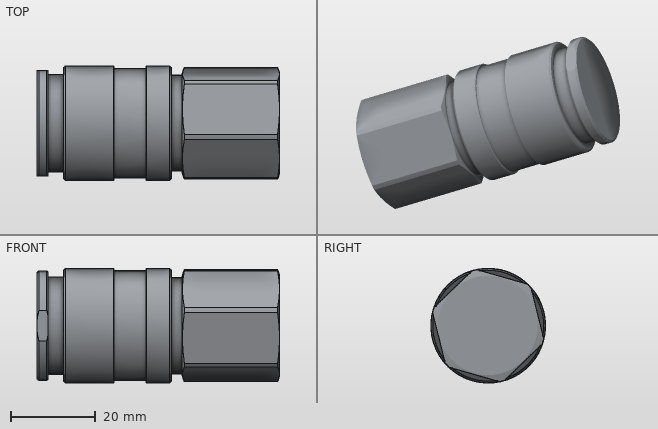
import cadquery as cq
import math

TOTAL_LENGTH = 57.45

FLANGE_DIAMETER = 26.0
FLANGE_WIDTH = 2.7
FLANGE_FRONT_CHAMFER = 0.5
FLANGE_REAR_CHAMFER = 0.35
FLANGE_ACROSS_FLATS = FLANGE_DIAMETER - 2 * FLANGE_FRONT_CHAMFER

FRONT_NECK_DIAMETER = 23.1
REAR_NECK_DIAMETER = 22.75

HEX_START = 34.4
HEX_LENGTH = TOTAL_LENGTH - HEX_START
HEX_ACROSS_FLATS = 24.0
HEX_CORNER_DIAMETER = 27.0
HEX_FACE_DIAMETER = 23.55
HEX_CHAMFER_LENGTH = 0.5
HEX_ROTATION = 16.0

SLEEVE_START = 6.35
SLEEVE_END = 31.8
SLEEVE_DIAMETER = 27.15
SLEEVE_CHAMFER = 0.45
GROOVE_DIAMETER = 26.0
GROOVE_START = 18.1
GROOVE_END = 26.0
GROOVE_CHAMFER = 0.2
NECK_STEP = (SLEEVE_START + SLEEVE_END) / 2


def revolve_about_x(points):
    """Revolve a closed outline of (x, radius) points about the X axis."""
    return cq.Workplane("XY").polyline(points).close().revolve(360, (0, 0, 0), (1, 0, 0))


def cylinder(start, end, diameter):
    return cq.Workplane("YZ", origin=(start, 0, 0)).circle(diameter / 2).extrude(end - start)


def make_flange():
    """Front disc with chamfered rims and two opposite flats."""
    flange = cylinder(0, FLANGE_WIDTH, FLANGE_DIAMETER)
    flange = flange.faces("<X").chamfer(FLANGE_FRONT_CHAMFER)
    flange = flange.faces(">X").chamfer(FLANGE_REAR_CHAMFER)
    flats = cq.Workplane("XY").box(2 * FLANGE_WIDTH, FLANGE_ACROSS_FLATS, FLANGE_DIAMETER)
    return flange.intersect(flats)


def make_hexagon():
    """Hexagon with its corners turned down and both ends coned."""
    prism = (
        cq.Workplane("YZ", origin=(HEX_START, 0, 0))
        .polygon(6, HEX_ACROSS_FLATS / math.cos(math.pi / 6))
        .extrude(HEX_LENGTH)
        .rotate((0, 0, 0), (1, 0, 0), -HEX_ROTATION)
    )
    face_radius = HEX_FACE_DIAMETER / 2
    corner_radius = HEX_CORNER_DIAMETER / 2
    turned_blank = revolve_about_x([
        (HEX_START, 0),
        (HEX_START, face_radius),
        (HEX_START + HEX_CHAMFER_LENGTH, corner_radius),
        (TOTAL_LENGTH - HEX_CHAMFER_LENGTH, corner_radius),
        (TOTAL_LENGTH, face_radius),
        (TOTAL_LENGTH, 0),
    ])
    return prism.intersect(turned_blank)


def make_necks():
    """Core between flange and hexagon, stepped under the sleeve."""
    front_neck = cylinder(FLANGE_WIDTH, NECK_STEP, FRONT_NECK_DIAMETER)
    rear_neck = cylinder(NECK_STEP, HEX_START, REAR_NECK_DIAMETER)
    return front_neck.union(rear_neck)


def make_body():
    return make_flange().union(make_necks()).union(make_hexagon())


def make_sleeve():
    """Locking sleeve: two collars with a groove between, bored to fit the necks."""
    outer_radius = SLEEVE_DIAMETER / 2
    end_radius = outer_radius - SLEEVE_CHAMFER
    groove_radius = GROOVE_DIAMETER / 2
    groove_lip_radius = outer_radius - GROOVE_CHAMFER
    front_bore_radius = FRONT_NECK_DIAMETER / 2
    rear_bore_radius = REAR_NECK_DIAMETER / 2
    return revolve_about_x([
        (SLEEVE_START, front_bore_radius),
        (SLEEVE_START, end_radius),
        (SLEEVE_START + SLEEVE_CHAMFER, outer_radius),
        (GROOVE_START, outer_radius),
        (GROOVE_START + GROOVE_CHAMFER, groove_lip_radius),
        (GROOVE_START + GROOVE_CHAMFER, groove_radius),
        (GROOVE_END - GROOVE_CHAMFER, groove_radius),
        (GROOVE_END - GROOVE_CHAMFER, groove_lip_radius),
        (GROOVE_END, outer_radius),
        (SLEEVE_END - SLEEVE_CHAMFER, outer_radius),
        (SLEEVE_END, end_radius),
        (SLEEVE_END, rear_bore_radius),
        (NECK_STEP, rear_bore_radius),
        (NECK_STEP, front_bore_radius),
    ])


body = make_body()
sleeve = make_sleeve()

result = cq.Compound.makeCompound([body.val(), sleeve.val()])